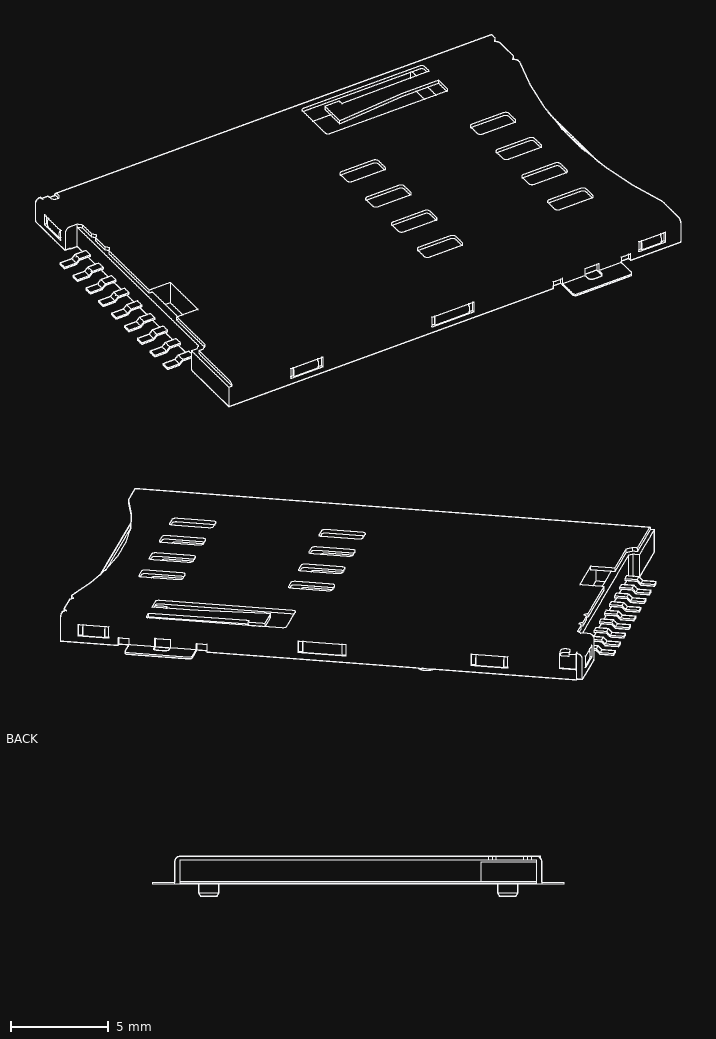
import cadquery as cq

BODY_HALF_WIDTH = 9.37
BODY_HEIGHT = 1.43
MOUTH_Y = 14.02
REAR_END_Y = -14.02
SHEET = 0.2
COVER_BEND = 0.28
COVER_BOTTOM = BODY_HEIGHT - SHEET

SHOULDER_Y = -13.02
CONTACT_WALL_Y = -12.48
CONTACT_WALL_LEFT = -6.37
SHOULDER_X = 5.7
SHOULDER_BEVEL = 0.2
LEDGE = 0.2
COVER_SHOULDER_Y = SHOULDER_Y + LEDGE
COVER_SHOULDER_X = 6.11
COVER_RAMP = 0.28

FLOOR = 0.15
SIDE_WALL = 0.28
CAVITY_REAR_Y = -10.65
MOUTH_FLOOR_Y = 13.97
LEAD_IN = 0.2
LEAD_IN_DROP = 0.08
ARC_LEFT = -6.42
ARC_RIGHT = 7.52
ARC_DEPTH = 1.15

WINDOW_SIZE = (1.0, 2.27)
WINDOW_RADIUS = 0.2
WINDOW_PITCH = 2.52
FIRST_WINDOW_X = -2.66
WINDOW_COLUMNS = 4
WINDOW_ROW_YS = (10.13, 2.33)

SPRING_LEFT = -8.8
SPRING_RIGHT = -6.25
SPRING_FRONT_Y = 9.68
SPRING_REAR_Y = 2.38
SPRING_RADIUS = 0.17
ARM_LEFT = -8.2
ARM_NECK_LEFT = -8.13
ARM_RIGHT = -7.26
ARM_FLARE_Y = 7.5
ARM_FOOT_LEFT = -8.4
ARM_FOOT_RIGHT = -6.93
ARM_FOOT_Y = 4.43
ARM_TIP_Y = 3.55
SWITCH_BLOCK_Y = 9.12
SWITCH_BLOCK_TOP = 1.12
SWITCH_BLOCK_LENGTH = 1.12

NOTCH_LEFT = 0.36
NOTCH_RIGHT = 3.05
TROUGH_RIGHT = 4.35
NOTCH_FRONT_Y = -11.02
TROUGH_REAR_Y = -12.1

NICK_HALF_WIDTH = 0.2
NICK_DEPTH = 0.17
REAR_NICK_XS = (-5.08, -3.8)
MOUTH_NICK_XS = (-8.65, -6.85)

FLAP_LEFT = -9.3
FLAP_Y = -13.18
FLAP_CORNER = 0.08
RELIEF_FRONT_Y = -12.0
RELIEF_REAR_Y = -12.87
RELIEF_BOTTOM = 0.55
RELIEF_DEPTH = 0.08
RELIEF_SLOT_WIDTH = 0.48
RELIEF_SLOT_RADIUS = 0.22
RELIEF_SLOT_END = -8.75

LATCH_BOTTOM = 0.36
LATCH_TOP = 0.98
LATCH_CREST = 0.67
LATCH_DEPTH = 0.15
LATCH_LUG_SETBACK = 0.05
LATCH_MARGIN = 0.22
SIDE_LATCHES = ((11.5, 13.1), (-0.87, 1.63), (-9.3, -7.4))
FLAP_LATCH = (-8.45, -6.85)

TAB_SPAN = 21.0
TAB_CENTER_Y = 8.7
TAB_LENGTH = 3.5
TAB_THICKNESS = 0.098
TAB_CORNER = 0.17
TAB_HOLE_END = 9.85
TAB_HOLE_WIDTH = 0.8
TAB_HOLE_RADIUS = 0.22
TAB_HOLE_HEIGHT = 0.53
TAB_NOTCH_WIDTH = 0.55
TAB_NOTCH_HEIGHT = 0.42

TAIL_COUNT = 9
TAIL_PITCH = 1.25
FIRST_TAIL_X = -5.3
TAIL_WIDTH = 0.45
TAIL_THICKNESS = 0.098
TAIL_RISE = 0.2
TAIL_STEP_START_Y = -13.13
TAIL_STEP_END_Y = -13.32

PEG_X = 7.63
PEG_Y = -4.7
PEG_DIAMETER = 1.05
PEG_LENGTH = 0.62
PEG_TAPER_LENGTH = 0.17
PEG_TAPER = 0.098


def block(x_range, y_range, z_range):
    """Box between two X, two Y and two Z limits."""
    size = [limits[1] - limits[0] for limits in (x_range, y_range, z_range)]
    corner = (x_range[0], y_range[0], z_range[0])
    return cq.Workplane("XY").box(*size, centered=False).translate(corner)


def both_sides(left_part):
    """A left-hand part together with its mirror image on the right."""
    return left_part.union(left_part.mirror("YZ"))


def shell():
    """Base and cover as one block, with bent top edges and a ledge along the rear."""
    flap_bend_y = FLAP_Y + COVER_BEND
    body = (
        cq.Workplane("XY")
        .moveTo(-BODY_HALF_WIDTH, MOUTH_Y)
        .lineTo(BODY_HALF_WIDTH, MOUTH_Y)
        .lineTo(BODY_HALF_WIDTH, SHOULDER_Y)
        .lineTo(SHOULDER_X, SHOULDER_Y)
        .lineTo(SHOULDER_X, CONTACT_WALL_Y - SHOULDER_BEVEL)
        .lineTo(SHOULDER_X - SHOULDER_BEVEL, CONTACT_WALL_Y)
        .lineTo(CONTACT_WALL_LEFT, CONTACT_WALL_Y)
        .lineTo(CONTACT_WALL_LEFT, flap_bend_y)
        .lineTo(-BODY_HALF_WIDTH, flap_bend_y)
        .close()
        .extrude(BODY_HEIGHT)
        .faces(">Z")
        .edges("<X or >X")
        .fillet(COVER_BEND)
    )
    cover_edge_y = CONTACT_WALL_Y + LEDGE
    ledge = (
        cq.Workplane("XY")
        .workplane(offset=COVER_BOTTOM)
        .moveTo(CONTACT_WALL_LEFT, CONTACT_WALL_Y)
        .lineTo(CONTACT_WALL_LEFT + LEDGE, cover_edge_y)
        .lineTo(COVER_SHOULDER_X - COVER_RAMP, cover_edge_y)
        .lineTo(COVER_SHOULDER_X, cover_edge_y - COVER_RAMP)
        .lineTo(COVER_SHOULDER_X, COVER_SHOULDER_Y)
        .lineTo(BODY_HALF_WIDTH, COVER_SHOULDER_Y)
        .lineTo(BODY_HALF_WIDTH, SHOULDER_Y)
        .lineTo(CONTACT_WALL_LEFT, SHOULDER_Y)
        .close()
        .extrude(SHEET)
    )
    return body.cut(ledge)


def card_cavity():
    """Card space, open at the mouth, with a sloping lead-in on the floor."""
    half_width = BODY_HALF_WIDTH - SIDE_WALL
    across = (-half_width, half_width)
    room = block(across, (CAVITY_REAR_Y, MOUTH_Y), (FLOOR, COVER_BOTTOM))
    lip_profile = [
        (MOUTH_FLOOR_Y - LEAD_IN, FLOOR),
        (MOUTH_FLOOR_Y, FLOOR - LEAD_IN_DROP),
        (MOUTH_FLOOR_Y, 0),
        (MOUTH_Y, 0),
        (MOUTH_Y, FLOOR),
    ]
    lip = cq.Workplane("YZ").polyline(lip_profile).close().extrude(half_width, both=True)
    return room.union(lip)


def finger_arc():
    """Shallow arc in the cover at the card mouth."""
    middle = (ARC_LEFT + ARC_RIGHT) / 2
    return (
        cq.Workplane("XY")
        .workplane(offset=COVER_BOTTOM)
        .moveTo(ARC_LEFT, MOUTH_Y)
        .threePointArc((middle, MOUTH_Y - ARC_DEPTH), (ARC_RIGHT, MOUTH_Y))
        .close()
        .extrude(SHEET)
    )


def contact_windows():
    """Two rows of rounded windows through cover and floor."""
    centers = [
        (FIRST_WINDOW_X + column * WINDOW_PITCH, row_y)
        for row_y in WINDOW_ROW_YS
        for column in range(WINDOW_COLUMNS)
    ]
    return (
        cq.Workplane("XY")
        .pushPoints(centers)
        .rect(*WINDOW_SIZE)
        .extrude(BODY_HEIGHT)
        .edges("|Z")
        .fillet(WINDOW_RADIUS)
    )


def spring_opening():
    """Opening in the cover around a spring arm that hangs from its mouth end."""
    opening = (
        block((SPRING_LEFT, SPRING_RIGHT), (SPRING_REAR_Y, SPRING_FRONT_Y), (COVER_BOTTOM, BODY_HEIGHT))
        .edges("|Z")
        .fillet(SPRING_RADIUS)
    )
    arm = (
        cq.Workplane("XY")
        .workplane(offset=COVER_BOTTOM)
        .polyline(
            [
                (ARM_LEFT, SPRING_FRONT_Y),
                (ARM_RIGHT, SPRING_FRONT_Y),
                (ARM_RIGHT, ARM_FLARE_Y),
                (ARM_FOOT_RIGHT, ARM_TIP_Y),
                (ARM_FOOT_LEFT, ARM_TIP_Y),
                (ARM_FOOT_LEFT, ARM_FOOT_Y),
                (ARM_NECK_LEFT, ARM_FOOT_Y),
            ]
        )
        .close()
        .extrude(SHEET)
    )
    return opening.cut(arm)


def switch_block():
    """Block on the cavity floor, seen through the mouth end of the spring opening."""
    return block(
        (-BODY_HALF_WIDTH + SIDE_WALL, SPRING_RIGHT),
        (SWITCH_BLOCK_Y, SWITCH_BLOCK_Y + SWITCH_BLOCK_LENGTH),
        (FLOOR, SWITCH_BLOCK_TOP),
    )


def rear_notch():
    """Notch in the rear cover edge over a deep trough that runs on to the right under the cover."""
    notch = block(
        (NOTCH_LEFT, NOTCH_RIGHT),
        (CONTACT_WALL_Y, NOTCH_FRONT_Y),
        (COVER_BOTTOM, BODY_HEIGHT),
    )
    trough = block(
        (NOTCH_LEFT, TROUGH_RIGHT),
        (TROUGH_REAR_Y, NOTCH_FRONT_Y),
        (FLOOR, COVER_BOTTOM),
    )
    return notch.union(trough)


def edge_nick(x, edge_y, depth):
    """V nick in the cover at an edge; a positive depth points to +Y."""
    points = [(x - NICK_HALF_WIDTH, edge_y), (x, edge_y + depth), (x + NICK_HALF_WIDTH, edge_y)]
    return cq.Workplane("XY").workplane(offset=COVER_BOTTOM).polyline(points).close().extrude(SHEET)


def rear_flap():
    """Cover flap folded down over the left end of the rear wall."""
    return (
        block((FLAP_LEFT, CONTACT_WALL_LEFT), (FLAP_Y, RELIEF_REAR_Y), (0, BODY_HEIGHT))
        .edges("|Y and <Z")
        .fillet(FLAP_CORNER)
        .edges("<Y and >Z")
        .fillet(COVER_BEND)
    )


def corner_relief():
    """Relief between the side wall and the rear flap, with a round-ended slot in the top."""
    wall_x = -BODY_HALF_WIDTH
    side = block(
        (wall_x, wall_x + RELIEF_DEPTH),
        (RELIEF_REAR_Y, RELIEF_FRONT_Y),
        (RELIEF_BOTTOM, BODY_HEIGHT),
    )
    slot = (
        block(
            (wall_x, RELIEF_SLOT_END),
            (RELIEF_FRONT_Y - RELIEF_SLOT_WIDTH, RELIEF_FRONT_Y),
            (COVER_BOTTOM, BODY_HEIGHT),
        )
        .edges("|Z and >X")
        .fillet(RELIEF_SLOT_RADIUS)
    )
    return side.union(slot)


def latch_pocket(length):
    """Latch window for a wall lying in the XZ plane, cut toward +Y, with a wedge lug left inside."""
    pocket = block((0, length), (0, LATCH_DEPTH), (LATCH_BOTTOM, LATCH_TOP))
    lug = (
        cq.Workplane("YZ")
        .workplane(offset=LATCH_MARGIN)
        .polyline(
            [
                (LATCH_DEPTH, LATCH_TOP),
                (LATCH_LUG_SETBACK, LATCH_CREST),
                (LATCH_LUG_SETBACK, LATCH_BOTTOM),
                (LATCH_DEPTH, LATCH_BOTTOM),
            ]
        )
        .close()
        .extrude(length - 2 * LATCH_MARGIN)
    )
    return pocket.cut(lug)


def side_latch(rear_y, front_y):
    """Latch window in the left side wall."""
    pocket = latch_pocket(front_y - rear_y).rotate((0, 0, 0), (0, 0, 1), -90)
    return pocket.translate((-BODY_HALF_WIDTH, front_y, 0))


def flap_latch():
    """Latch window in the rear flap."""
    left, right = FLAP_LATCH
    return latch_pocket(right - left).translate((left, FLAP_Y, 0))


def tab_notches():
    """Notches in the left side wall beside and in the middle of the solder tab."""
    across = (-BODY_HALF_WIDTH, -BODY_HALF_WIDTH + SHEET)
    half_hole = TAB_HOLE_WIDTH / 2
    notches = block(across, (TAB_CENTER_Y - half_hole, TAB_CENTER_Y + half_hole), (0, TAB_HOLE_HEIGHT))
    half_tab = TAB_LENGTH / 2
    for start_y in (TAB_CENTER_Y + half_tab, TAB_CENTER_Y - half_tab - TAB_NOTCH_WIDTH):
        notches = notches.union(block(across, (start_y, start_y + TAB_NOTCH_WIDTH), (0, TAB_NOTCH_HEIGHT)))
    return notches


def solder_tab():
    """Left solder tab with a rounded slot running out of the side wall."""
    half_tab = TAB_LENGTH / 2
    half_hole = TAB_HOLE_WIDTH / 2
    plate = (
        block(
            (-TAB_SPAN / 2, -BODY_HALF_WIDTH),
            (TAB_CENTER_Y - half_tab, TAB_CENTER_Y + half_tab),
            (0, TAB_THICKNESS),
        )
        .edges("|Z and <X")
        .fillet(TAB_CORNER)
    )
    hole = (
        block(
            (-TAB_HOLE_END, -BODY_HALF_WIDTH),
            (TAB_CENTER_Y - half_hole, TAB_CENTER_Y + half_hole),
            (0, TAB_THICKNESS),
        )
        .edges("|Z and <X")
        .fillet(TAB_HOLE_RADIUS)
    )
    return plate.cut(hole)


def contact_tails():
    """Row of contact tails stepping down from the rear wall to the seating plane."""
    raised_top = TAIL_RISE + TAIL_THICKNESS
    profile = [
        (CONTACT_WALL_Y, raised_top),
        (TAIL_STEP_START_Y, raised_top),
        (TAIL_STEP_END_Y, TAIL_THICKNESS),
        (REAR_END_Y, TAIL_THICKNESS),
        (REAR_END_Y, 0),
        (TAIL_STEP_END_Y, 0),
        (TAIL_STEP_START_Y, TAIL_RISE),
        (CONTACT_WALL_Y, TAIL_RISE),
    ]
    tail = cq.Workplane("YZ").polyline(profile).close().extrude(TAIL_WIDTH / 2, both=True)
    tails = cq.Workplane("XY")
    for index in range(TAIL_COUNT):
        tails = tails.add(tail.translate((FIRST_TAIL_X + index * TAIL_PITCH, 0, 0)))
    return tails.combine()


def locating_peg():
    """Left locating peg with a tapered tip."""
    return (
        cq.Workplane("XY")
        .center(-PEG_X, PEG_Y)
        .circle(PEG_DIAMETER / 2)
        .extrude(-PEG_LENGTH)
        .faces("<Z")
        .chamfer(PEG_TAPER_LENGTH, PEG_TAPER)
    )


result = shell().union(rear_flap())
result = result.cut(card_cavity()).union(switch_block())
result = result.cut(finger_arc()).cut(contact_windows()).cut(spring_opening())
result = result.cut(rear_notch()).cut(corner_relief()).cut(flap_latch())
for nick_x in REAR_NICK_XS:
    result = result.cut(edge_nick(nick_x, CONTACT_WALL_Y + LEDGE, NICK_DEPTH))
for nick_x in MOUTH_NICK_XS:
    result = result.cut(edge_nick(nick_x, MOUTH_Y, -NICK_DEPTH))
for latch_rear, latch_front in SIDE_LATCHES:
    result = result.cut(both_sides(side_latch(latch_rear, latch_front)))
result = result.cut(both_sides(tab_notches())).union(both_sides(solder_tab()))
result = result.union(contact_tails()).union(both_sides(locating_peg()))